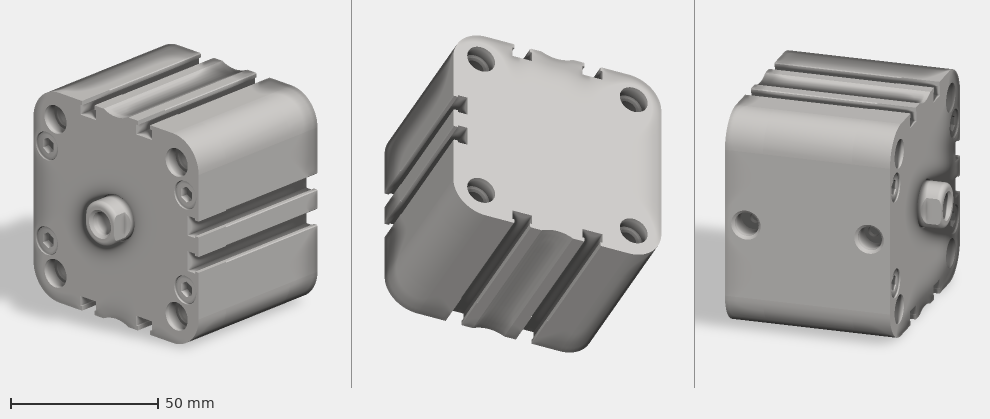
import cadquery as cq
import math


SIDE = 77.0
HALF = SIDE / 2
LENGTH = 59.0
CAP_LENGTH = 13.65
CORNER_RADIUS = 12.0

TOP_SLOT_OFFSET = 13.0
SIDE_SLOT_OFFSET = 6.5
SLOT_NECK_WIDTH = 5.8
SLOT_CAVITY_WIDTH = 7.25
SLOT_LIP = 1.6
SLOT_DEPTH = 5.2
SLOT_EDGE_BREAK = 0.3

GROOVE_WIDTH = 11.6
GROOVE_DEPTH = 1.45

MOUNT_PITCH = 56.5
MOUNT_DIAMETER = 6.65
MOUNT_CHAMFER_DIAMETER = 8.05
MOUNT_COUNTERBORE_DIAMETER = 10.3
MOUNT_COUNTERBORE_DEPTH = 5.0

SCREW_X = 32.25
SCREW_Z = 17.4
SCREW_BORE_DIAMETER = 10.3
SCREW_HEAD_DIAMETER = 9.8
SCREW_HEAD_SINK = 0.6
SCREW_BORE_DEPTH = 2.0
HEX_ACROSS_FLATS = 5.0
HEX_DEPTH = 3.0

PORT_INSET = 7.5
PORT_DIAMETER = 8.57
PORT_CHAMFER_DIAMETER = 10.5
PORT_DEPTH = 8.0
AIR_HOLE_DIAMETER = 4.0
AIR_HOLE_INSET = 8.4
AIR_HOLE_DEPTH = 10.0

ROD_DIAMETER = 16.0
ROD_LENGTH = 8.0
ROD_END_RADIUS = 1.7
ROD_CLEARANCE_DIAMETER = 16.5
ROD_CLEARANCE_CHAMFER_DIAMETER = 17.1
ROD_CLEARANCE_DEPTH = 1.0
ROD_HOLE_DIAMETER = 8.38
ROD_HOLE_CHAMFER_DIAMETER = 10.3
ROD_HOLE_DEPTH = 15.0
FLAT_WIDTH = 13.0
FLAT_START = 2.6

ALONG_Y = cq.Vector(0, 1, 0)
ALONG_X = cq.Vector(1, 0, 0)


def cylinder(diameter, length, start, direction):
    return cq.Workplane(cq.Solid.makeCylinder(diameter / 2, length, cq.Vector(*start), direction))


def countersink(outer, inner, start, direction):
    """45 degree cone narrowing from the outer to the inner diameter."""
    depth = (outer - inner) / 2
    return cq.Workplane(cq.Solid.makeCone(outer / 2, inner / 2, depth, cq.Vector(*start), direction))


def section(y):
    """Sketch plane across the rod axis: local axes are X and Z, negative extrusions run toward +Y."""
    return cq.Workplane(cq.Plane(origin=(0, y, 0), xDir=(1, 0, 0), normal=(0, -1, 0)))


def body():
    """Caps and barrel share one outline; the seams between them are kept as edges."""
    block_lengths = (CAP_LENGTH, LENGTH - 2 * CAP_LENGTH, CAP_LENGTH)
    stack = None
    start = 0.0
    for length in block_lengths:
        block = section(start).rect(SIDE, SIDE).extrude(-length).edges("|Y").fillet(CORNER_RADIUS)
        block = block.cut(grooves())
        stack = block if stack is None else stack.union(block, clean=False)
        start += length
    return stack.cut(t_slots(), clean=False)


def slot_mouth(offset):
    """Edge break along the mouth of a slot, on the barrel and the rear cap."""
    inner = SLOT_NECK_WIDTH / 2
    outer = inner + SLOT_EDGE_BREAK
    points = [
        (offset - outer, HALF),
        (offset - inner, HALF - SLOT_EDGE_BREAK),
        (offset + inner, HALF - SLOT_EDGE_BREAK),
        (offset + outer, HALF),
    ]
    return section(CAP_LENGTH).polyline(points).close().extrude(CAP_LENGTH - LENGTH)


def t_slot(offset, angle):
    """T-slot cutter for the top face, shifted along X and then turned about the rod axis."""
    neck = section(0).center(offset, HALF - SLOT_LIP / 2).rect(SLOT_NECK_WIDTH, SLOT_LIP)
    cavity_height = SLOT_DEPTH - SLOT_LIP
    cavity_z = HALF - SLOT_LIP - cavity_height / 2
    cavity = section(0).center(offset, cavity_z).rect(SLOT_CAVITY_WIDTH, cavity_height)
    slot = neck.extrude(-LENGTH).union(cavity.extrude(-LENGTH)).union(slot_mouth(offset))
    return slot.rotate((0, 0, 0), (0, 1, 0), angle)


def t_slots():
    """Two slots in each of the top (0), +X (90) and bottom (180) faces."""
    slots = cq.Workplane()
    for angle, offset in ((0, TOP_SLOT_OFFSET), (90, SIDE_SLOT_OFFSET), (180, TOP_SLOT_OFFSET)):
        for side in (-1, 1):
            slots = slots.add(t_slot(side * offset, angle))
    return slots.combine()


def grooves():
    radius = ((GROOVE_WIDTH / 2) ** 2 + GROOVE_DEPTH**2) / (2 * GROOVE_DEPTH)
    center_z = HALF - GROOVE_DEPTH + radius
    return section(0).pushPoints([(0, center_z), (0, -center_z)]).circle(radius).extrude(-LENGTH)


def mounting_hole(x, z):
    hole = cylinder(MOUNT_DIAMETER, LENGTH, (x, 0, z), ALONG_Y)
    for face_y, inward in ((0, ALONG_Y), (LENGTH, -ALONG_Y)):
        seat_y = face_y + inward.y * MOUNT_COUNTERBORE_DEPTH
        hole = hole.union(
            cylinder(MOUNT_COUNTERBORE_DIAMETER, MOUNT_COUNTERBORE_DEPTH, (x, face_y, z), inward)
        )
        hole = hole.union(countersink(MOUNT_CHAMFER_DIAMETER, MOUNT_DIAMETER, (x, seat_y, z), inward))
    return hole


def screw_recess(x, z):
    """Bore around a sunk screw head, with the hexagon socket in the head."""
    bore = cylinder(SCREW_BORE_DIAMETER, SCREW_BORE_DEPTH, (x, 0, z), ALONG_Y)
    head_height = SCREW_BORE_DEPTH - SCREW_HEAD_SINK
    head = cylinder(SCREW_HEAD_DIAMETER, head_height, (x, SCREW_HEAD_SINK, z), ALONG_Y)
    across_corners = HEX_ACROSS_FLATS / math.cos(math.pi / 6)
    socket = section(SCREW_HEAD_SINK).center(x, z).transformed(rotate=(0, 0, 90))
    socket = socket.polygon(6, across_corners).extrude(-HEX_DEPTH)
    return bore.cut(head).union(socket)


def port(y, air_hole_y):
    entry = countersink(PORT_CHAMFER_DIAMETER, PORT_DIAMETER, (-HALF, y, 0), ALONG_X)
    thread = cylinder(PORT_DIAMETER, PORT_DEPTH, (-HALF, y, 0), ALONG_X)
    air_hole = cylinder(AIR_HOLE_DIAMETER, AIR_HOLE_DEPTH, (-HALF, air_hole_y, 0), ALONG_X)
    return thread.union(entry).union(air_hole)


def rod():
    """Rod end with a rounded rim and two wrench flats that run out at 45 degrees."""
    end = section(0).circle(ROD_DIAMETER / 2).extrude(ROD_LENGTH)
    end = end.faces("<Y").edges().fillet(ROD_END_RADIUS)
    runout = (ROD_DIAMETER - FLAT_WIDTH) / 2
    for side in (-1, 1):
        flat = (
            cq.Workplane("XY", origin=(0, 0, -ROD_DIAMETER / 2))
            .moveTo(side * FLAT_WIDTH / 2, -ROD_LENGTH)
            .lineTo(side * FLAT_WIDTH / 2, -FLAT_START)
            .lineTo(side * ROD_DIAMETER / 2, -FLAT_START + runout)
            .lineTo(side * ROD_DIAMETER / 2, -ROD_LENGTH)
            .close()
            .extrude(ROD_DIAMETER)
        )
        end = end.cut(flat)
    return end


def rod_clearance():
    """Ring around the rod, chamfered at the front face."""
    bore = cylinder(ROD_CLEARANCE_DIAMETER, ROD_CLEARANCE_DEPTH, (0, 0, 0), ALONG_Y)
    chamfer = countersink(ROD_CLEARANCE_CHAMFER_DIAMETER, ROD_CLEARANCE_DIAMETER, (0, 0, 0), ALONG_Y)
    core = cylinder(ROD_DIAMETER, ROD_CLEARANCE_DEPTH, (0, 0, 0), ALONG_Y)
    return bore.union(chamfer).cut(core)


def rod_hole():
    mouth = (0, -ROD_LENGTH, 0)
    hole = cylinder(ROD_HOLE_DIAMETER, ROD_HOLE_DEPTH, mouth, ALONG_Y)
    return hole.union(countersink(ROD_HOLE_CHAMFER_DIAMETER, ROD_HOLE_DIAMETER, mouth, ALONG_Y))


def cut(part, tool):
    """Cut without merging coplanar faces, so that the cap seams stay."""
    return part.cut(tool, clean=False)


CORNERS = [(x, z) for x in (-1, 1) for z in (-1, 1)]

result = body().union(rod(), clean=False)
result = cut(result, rod_clearance())
result = cut(result, rod_hole())
result = cut(result, port(PORT_INSET, AIR_HOLE_INSET))
result = cut(result, port(LENGTH - PORT_INSET, LENGTH - AIR_HOLE_INSET))
for side_x, side_z in CORNERS:
    result = cut(result, mounting_hole(side_x * MOUNT_PITCH / 2, side_z * MOUNT_PITCH / 2))
    result = cut(result, screw_recess(side_x * SCREW_X, side_z * SCREW_Z))